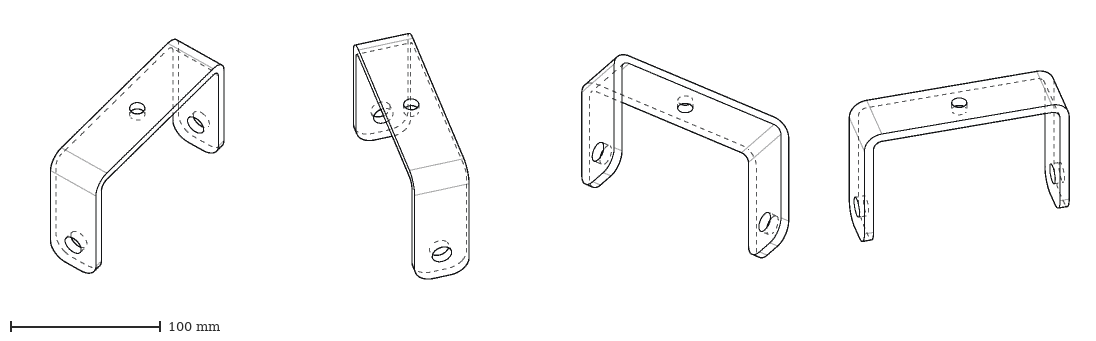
import cadquery as cq

width = 38.1
span = 142.2
height = 95.3

thickness = 6.4
inner_bend_radius = 5.7
outer_bend_radius = inner_bend_radius + thickness
leg_corner_radius = 13.0

top_hole_diameter = 10.1
leg_hole_diameter = 13.5
leg_hole_height = 21.3


def bent_strip():
    """U-shaped strip, open downward, with concentric bend radii."""
    outer = cq.Workplane("XY").box(width, span, height, centered=(True, True, False))
    outer = outer.edges("|X and >Z").fillet(outer_bend_radius)
    inner_span = span - 2 * thickness
    inner_height = height - thickness
    inner = cq.Workplane("XY").box(width, inner_span, inner_height, centered=(True, True, False))
    inner = inner.edges("|X and >Z").fillet(inner_bend_radius)
    return outer.cut(inner)


def round_leg_ends(strip):
    """Round the lower corners of both legs."""
    return strip.faces("<Z").edges("|Y").fillet(leg_corner_radius)


def top_hole():
    """Cutter for the hole at the center of the top web."""
    return cq.Workplane("XY").circle(top_hole_diameter / 2).extrude(height)


def leg_holes():
    """Cutter for the aligned holes through both legs."""
    profile = cq.Workplane("XZ").center(0, leg_hole_height).circle(leg_hole_diameter / 2)
    return profile.extrude(span / 2, both=True)


result = round_leg_ends(bent_strip()).cut(top_hole()).cut(leg_holes())